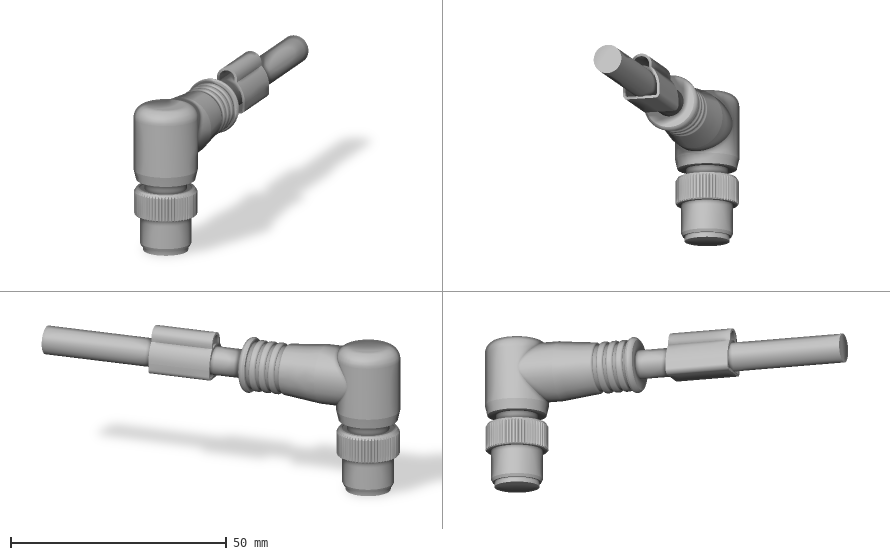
import cadquery as cq
import math

total_length = 87.5
total_height = 35.0
overlap = 0.9

head_radius = 15.0 / 2
head_top_fillet = 3.0
head_taper_top_z = 19.5
head_bottom_z = 17.15
head_bottom_radius = 6.9

neck_radius = 4.9
barrel_radius = 6.0
barrel_chamfer_z = 1.8
barrel_chamfer = 0.35
rim_radius = 5.25
rim_height = 1.1

nut_radius = 7.35
nut_bottom_z = 8.7
nut_top_z = 15.05
nut_top_chamfer_width = 0.5
nut_top_chamfer_height = 0.8
nut_bottom_chamfer = 0.3
nut_recess_radius = 6.1
nut_recess_depth = 0.3
tooth_count = 60
tooth_depth = 0.35
tooth_flat_share = 0.5

axis_z = 26.95
arm_radius = 7.0
cone_start_y = 10.85
cone_end_y = 19.8
ridge_radius = 6.0
groove_radius = 5.5
ridge_round = ridge_radius - groove_radius
ridge_width = 1.7
first_ridge_y = 22.05
ridge_pitch = 2.4
ridge_count = 3
flange_start_y = 28.4
flange_end_y = 30.1
flange_radius = 6.6
flange_front_chamfer_length = 0.5
flange_front_chamfer_depth = 0.3
flange_back_round = 1.3

cable_radius = 3.37
cable_end_y = total_length - head_radius

clip_start_y = 37.9
clip_length = 15.1
clip_wall = 0.6
clip_half_width = 4.5
clip_bottom = -3.85
clip_corner_radius = 1.1
clip_side_arc_start = -1.1
loop_radius = 2.5
loop_top = 6.8
loop_base = 3.6
clip_roof_radius = 4.0
clip_roof_width = 2 * (loop_radius + clip_wall)


def arc_to(sketch, centre, radius, mid_angle, end_angle):
    """Continue a sketch with an arc about a centre, passing mid_angle and ending at end_angle (degrees)."""
    def on_circle(angle):
        turn = math.radians(angle)
        return (centre[0] + radius * math.cos(turn), centre[1] + radius * math.sin(turn))
    return sketch.threePointArc(on_circle(mid_angle), on_circle(end_angle))


def make_head():
    profile = (
        cq.Workplane("XZ")
        .moveTo(0, head_bottom_z)
        .lineTo(head_bottom_radius, head_bottom_z)
        .lineTo(head_radius, head_taper_top_z)
        .lineTo(head_radius, total_height)
        .lineTo(0, total_height)
        .close()
    )
    return profile.revolve().faces(">Z").edges().fillet(head_top_fillet)


def make_barrel():
    rim = cq.Workplane("XY").circle(rim_radius).extrude(rim_height)
    barrel = (
        cq.Workplane("XZ")
        .moveTo(0, rim_height)
        .lineTo(barrel_radius - barrel_chamfer, rim_height)
        .lineTo(barrel_radius, barrel_chamfer_z)
        .lineTo(barrel_radius, nut_bottom_z + overlap)
        .lineTo(0, nut_bottom_z + overlap)
        .close()
        .revolve()
    )
    neck = (
        cq.Workplane("XY").workplane(offset=nut_bottom_z)
        .circle(neck_radius).extrude(head_bottom_z + overlap - nut_bottom_z)
    )
    return rim.union(barrel).union(neck)


def make_nut():
    pitch = 2 * math.pi / tooth_count
    crest_half_angle = pitch * tooth_flat_share / 2
    outline = []
    for tooth in range(tooth_count):
        middle = tooth * pitch
        corners = (
            (nut_radius, middle - crest_half_angle),
            (nut_radius, middle + crest_half_angle),
            (nut_radius - tooth_depth, middle + pitch / 2),
        )
        for radius, angle in corners:
            outline.append((radius * math.cos(angle), radius * math.sin(angle)))
    toothed = (
        cq.Workplane("XY").workplane(offset=nut_bottom_z)
        .polyline(outline).close().extrude(nut_top_z - nut_bottom_z)
    )
    chamfered_blank = (
        cq.Workplane("XZ")
        .moveTo(0, nut_bottom_z)
        .lineTo(nut_radius - nut_bottom_chamfer, nut_bottom_z)
        .lineTo(nut_radius, nut_bottom_z + nut_bottom_chamfer)
        .lineTo(nut_radius, nut_top_z - nut_top_chamfer_height)
        .lineTo(nut_radius - nut_top_chamfer_width, nut_top_z)
        .lineTo(0, nut_top_z)
        .close()
        .revolve()
    )
    recess = (
        cq.Workplane("XY").workplane(offset=nut_top_z - nut_recess_depth)
        .circle(nut_recess_radius).extrude(nut_recess_depth)
    )
    return toothed.intersect(chamfered_blank).cut(recess)


def make_arm():
    """Revolved sleeve: cylinder, cone, rounded strain-relief ridges and end flange."""
    sketch = (
        cq.Workplane("XY")
        .lineTo(arm_radius, 0)
        .lineTo(arm_radius, cone_start_y)
        .lineTo(ridge_radius, cone_end_y)
    )
    sketch = arc_to(sketch, (groove_radius, cone_end_y), ridge_round, 45, 90)
    for ridge in range(ridge_count):
        ridge_y = first_ridge_y + ridge * ridge_pitch
        crest_half = ridge_width / 2 - ridge_round
        sketch = sketch.lineTo(groove_radius, ridge_y - ridge_width / 2)
        sketch = arc_to(sketch, (groove_radius, ridge_y - crest_half), ridge_round, -45, 0)
        sketch = sketch.lineTo(ridge_radius, ridge_y + crest_half)
        sketch = arc_to(sketch, (groove_radius, ridge_y + crest_half), ridge_round, 45, 90)

    crest_y = flange_start_y + flange_front_chamfer_length
    back_centre = (flange_radius - flange_back_round, crest_y)
    back_end_angle = math.degrees(math.asin((flange_end_y - crest_y) / flange_back_round))
    sketch = (
        sketch.lineTo(groove_radius, flange_start_y)
        .lineTo(flange_radius - flange_front_chamfer_depth, flange_start_y)
        .lineTo(flange_radius, crest_y)
    )
    sketch = arc_to(sketch, back_centre, flange_back_round, back_end_angle / 2, back_end_angle)
    sleeve = sketch.lineTo(0, flange_end_y).close().revolve(360, (0, 0), (0, 1))
    return sleeve.translate((0, 0, axis_z))


def along_cable(start_y):
    """Workplane across the cable axis; local x is -X, local y is Z, and extrusion runs toward +Y."""
    return cq.Workplane("XZ", origin=(0, start_y, axis_z)).transformed(rotate=(0, 180, 0))


def make_cable():
    return along_cable(flange_end_y - overlap).circle(cable_radius).extrude(
        cable_end_y - flange_end_y + overlap
    )


def clip_section():
    """Outer section of the clip: a marker loop on top of a skirt that wraps the cable."""
    arc_rise = loop_base - clip_side_arc_start
    arc_inset = clip_half_width - loop_radius
    side_arc_radius = (arc_rise ** 2 + arc_inset ** 2) / (2 * arc_inset)
    half_angle = math.asin(arc_rise / side_arc_radius) / 2
    arc_mid_x = clip_half_width - side_arc_radius * (1 - math.cos(half_angle))
    arc_mid_z = clip_side_arc_start + side_arc_radius * math.sin(half_angle)
    return (
        along_cable(clip_start_y)
        .moveTo(clip_half_width - clip_corner_radius, clip_bottom)
        .radiusArc((clip_half_width, clip_bottom + clip_corner_radius), -clip_corner_radius)
        .lineTo(clip_half_width, clip_side_arc_start)
        .threePointArc((arc_mid_x, arc_mid_z), (loop_radius, loop_base))
        .lineTo(loop_radius, loop_top - loop_radius)
        .threePointArc((0, loop_top), (-loop_radius, loop_top - loop_radius))
        .lineTo(-loop_radius, loop_base)
        .threePointArc((-arc_mid_x, arc_mid_z), (-clip_half_width, clip_side_arc_start))
        .lineTo(-clip_half_width, clip_bottom + clip_corner_radius)
        .radiusArc((clip_corner_radius - clip_half_width, clip_bottom), -clip_corner_radius)
        .close()
    )


def make_clip():
    outer = clip_section().extrude(clip_length)
    inner = clip_section().offset2D(-clip_wall).extrude(clip_length)
    above_axis = (
        along_cable(clip_start_y).center(0, loop_top / 2)
        .rect(clip_roof_width, loop_top).extrude(clip_length)
    )
    roof = along_cable(clip_start_y).circle(clip_roof_radius).extrude(clip_length).intersect(above_axis)
    return outer.cut(inner).union(roof)


result = (
    make_head()
    .union(make_barrel())
    .union(make_nut())
    .union(make_arm())
    .union(make_cable())
    .union(make_clip())
)